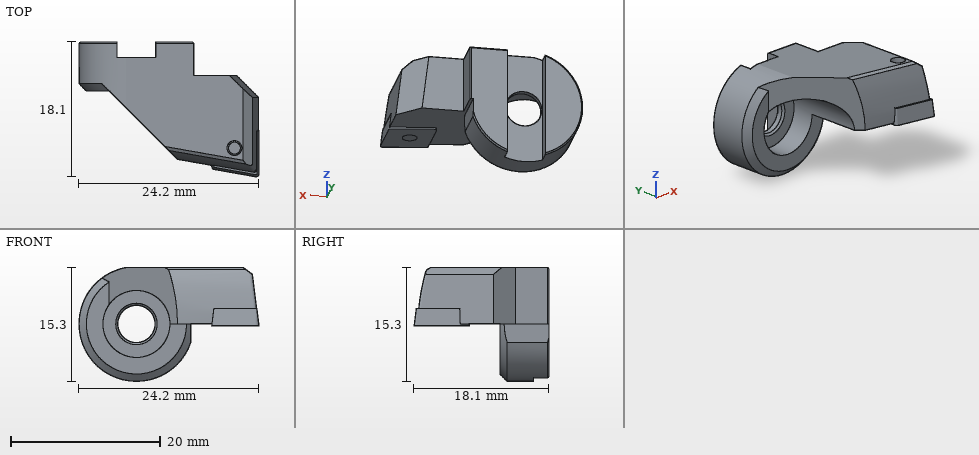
import cadquery as cq
import math


ring_radius = 7.71
ring_depth = 6.6
ring_front_bevel = 1.0
top_height = 7.6
lower_flat_x = 7.3
back_chamfer = 0.2
bore_radius = 2.5
bore_chamfer = 0.3
counterbore_radius = 4.5
counterbore_floor = 3.15
key_slot_width = 5.17
key_slot_depth = 2.05

arm_back_y = -4.47
oblique_sum = -10.25
arm_right_x = 16.4
right_taper = 7.0
right_chamfer_width = 1.25
right_chamfer_height = 0.95
rear_corner_x = 13.42
rear_corner_taper = 5.0
front_left_x = 5.51
front_angle = 10.0
front_curve_radius = 27.8
front_chamfer_width = 0.44
front_chamfer_height = 0.3
front_corner_radius = 0.35

insert_width = 6.35
insert_thickness = 2.37
insert_drop = 0.27
insert_relief = 7.0
insert_nose_radius = 0.4
insert_right_x = 16.47
insert_front_y = -18.1

screw_x = 13.15
screw_y = -14.25
screw_radius = 1.0
screw_tip_z = 4.84
screw_tip_chamfer = 0.2

front_slope = math.radians(front_angle)
top_flat_left_x = -math.sqrt(ring_radius**2 - top_height**2)
clearance = 48.35


def make_hub():
    """Ring with a square upper right shoulder, a flat top and a flat on its lower right side."""
    ring = (
        cq.Workplane("XZ")
        .circle(ring_radius)
        .extrude(ring_depth)
        .faces(">Y").chamfer(back_chamfer)
        .faces("<Y").chamfer(ring_front_bevel)
    )
    shoulder = (
        cq.Workplane("XZ")
        .rect(ring_radius, ring_radius, centered=False)
        .extrude(-arm_back_y)
        .edges(">X and >Y").chamfer(back_chamfer)
    )
    above_flat_top = (
        cq.Workplane("YZ")
        .polyline([
            (0, top_height - back_chamfer),
            (-back_chamfer, top_height),
            (-clearance, top_height),
            (-clearance, clearance),
            (0, clearance),
        ])
        .close()
        .extrude(clearance, both=True)
    )
    beyond_lower_flat = (
        cq.Workplane("XY", origin=(lower_flat_x, 0, -ring_radius))
        .rect(ring_radius, -ring_depth, centered=False)
        .extrude(ring_radius)
    )
    return ring.union(shoulder).cut(above_flat_top).cut(beyond_lower_flat)


def make_arm_block():
    """Arm with its tapered right face and the oblique face, before the front and rear corner."""
    shoulder_z = top_height - right_chamfer_height
    shoulder_x = arm_right_x - shoulder_z * math.tan(math.radians(right_taper))
    arc_angle = (math.pi + math.atan2(top_height, top_flat_left_x)) / 2
    elevation = (
        cq.Workplane("XZ")
        .moveTo(-ring_radius, 0)
        .lineTo(arm_right_x, 0)
        .lineTo(shoulder_x, shoulder_z)
        .lineTo(shoulder_x - right_chamfer_width, top_height)
        .lineTo(top_flat_left_x, top_height)
        .threePointArc(
            (ring_radius * math.cos(arc_angle), ring_radius * math.sin(arc_angle)),
            (-ring_radius, 0),
        )
        .close()
        .extrude(clearance)
    )
    front_left_y = oblique_sum - front_left_x
    front_right_y = front_left_y - (arm_right_x - front_left_x) * math.tan(front_slope)
    plan = (
        cq.Workplane("XY")
        .polyline([
            (oblique_sum - arm_back_y, arm_back_y),
            (rear_corner_x, arm_back_y),
            (arm_right_x, arm_back_y - (arm_right_x - rear_corner_x)),
            (arm_right_x, front_right_y),
            (front_left_x, front_left_y),
        ])
        .close()
        .extrude(top_height)
    )
    return elevation.intersect(plan)


def side_sketch(corner, outward):
    """Vertical sketch plane through a plan corner; local x points outward and local y up."""
    return cq.Workplane(cq.Plane(
        origin=(corner[0], corner[1], 0),
        xDir=(outward[0], outward[1], 0),
        normal=(outward[1], -outward[0], 0),
    ))


def make_front_cutter():
    """Material outside the curved front face and its top chamfer."""
    chamfer_z = top_height - front_chamfer_height

    def setback(z):
        return math.sqrt(front_curve_radius**2 - z**2) - front_curve_radius

    return (
        side_sketch(
            (front_left_x, oblique_sum - front_left_x),
            (-math.sin(front_slope), -math.cos(front_slope)),
        )
        .moveTo(0, 0)
        .threePointArc((setback(chamfer_z / 2), chamfer_z / 2), (setback(chamfer_z), chamfer_z))
        .lineTo(setback(chamfer_z) - front_chamfer_width, top_height)
        .lineTo(clearance, top_height)
        .lineTo(clearance, 0)
        .close()
        .extrude(clearance, both=True)
    )


def make_rear_corner_cutter():
    """Material outside the tapered 45 degree face at the rear right corner."""
    setback = top_height * math.tan(math.radians(rear_corner_taper))
    return (
        side_sketch((rear_corner_x, arm_back_y), (math.sqrt(0.5), math.sqrt(0.5)))
        .polyline([(0, 0), (-setback, top_height), (clearance, top_height), (clearance, 0)])
        .close()
        .extrude(clearance, both=True)
    )


def make_arm():
    arm = make_arm_block().cut(make_rear_corner_cutter()).cut(make_front_cutter())
    front_corner = cq.selectors.NearestToPointSelector((arm_right_x, insert_front_y, top_height / 2))
    return arm.edges(front_corner).fillet(front_corner_radius)


def make_insert_blank():
    """Rhombic insert without its screw hole, widest at its lower face."""
    side = insert_width / math.cos(front_slope)
    nose_rise = insert_nose_radius * ((1 + math.sin(front_slope)) / math.cos(front_slope) - 1)
    tip_y = insert_front_y - nose_rise
    left_x = insert_right_x - insert_width
    left_y = tip_y + side * math.sin(front_slope)
    corners = [
        (insert_right_x, tip_y),
        (insert_right_x, tip_y + side),
        (left_x, left_y + side),
        (left_x, left_y),
    ]
    rhombus = cq.Sketch().polygon(corners + corners[:1]).vertices().fillet(insert_nose_radius)
    return (
        cq.Workplane("XY", origin=(0, 0, -insert_drop))
        .placeSketch(rhombus)
        .extrude(insert_thickness, taper=insert_relief)
    )


def make_screw_hole():
    return (
        cq.Workplane("XY", origin=(screw_x, screw_y, -insert_drop))
        .circle(screw_radius)
        .extrude(insert_drop + top_height)
    )


def make_screw():
    """Screw flush with the insert below, its chamfered tip sunk in the arm."""
    return (
        cq.Workplane("XY", origin=(screw_x, screw_y, -insert_drop))
        .circle(screw_radius)
        .extrude(insert_drop + screw_tip_z)
        .faces(">Z")
        .chamfer(screw_tip_chamfer)
    )


def make_holder():
    """Hub and arm in one piece, with the bore, the key slot and the seats of insert and screw."""
    bore = cq.Workplane("XZ").circle(bore_radius).extrude(ring_depth)
    counterbore = (
        cq.Workplane("XZ", origin=(0, -counterbore_floor, 0))
        .circle(counterbore_radius)
        .extrude(clearance)
    )
    bore_countersink = cq.Workplane("XY").add(cq.Solid.makeCone(
        bore_radius + bore_chamfer,
        bore_radius,
        bore_chamfer,
        pnt=cq.Vector(0, -counterbore_floor, 0),
        dir=cq.Vector(0, 1, 0),
    ))
    key_slot = cq.Workplane("XY").box(key_slot_width, 2 * key_slot_depth, clearance)
    return (
        make_hub()
        .union(make_arm())
        .cut(counterbore)
        .cut(bore)
        .cut(bore_countersink)
        .cut(key_slot)
        .cut(make_insert_blank())
        .cut(make_screw_hole())
    )


holder = make_holder()
insert = make_insert_blank().cut(make_screw_hole())
screw = make_screw()

result = cq.Compound.makeCompound([holder.val(), insert.val(), screw.val()])